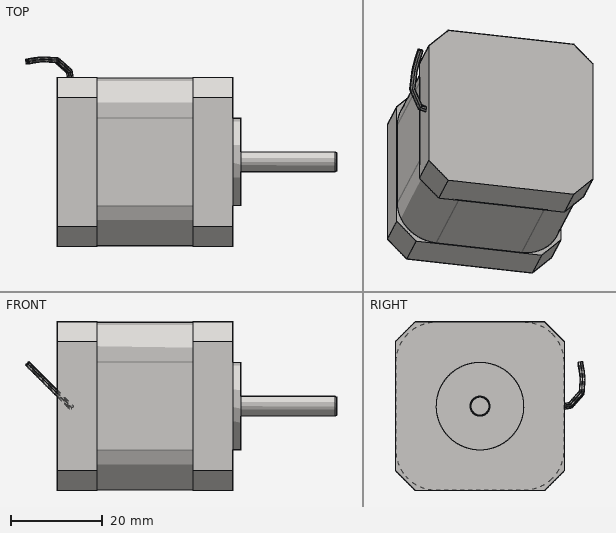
import cadquery as cq


cap_width = 36.88
cap_length = 8.72
cap_chamfer = 4.36
stator_length = 20.92
stator_inset = 0.13
stator_width = cap_width - 2 * stator_inset
stator_corner_radius = 8.72
body_length = 2 * cap_length + stator_length

boss_diameter = 19.1
boss_length = 1.74
shaft_diameter = 4.36
shaft_length = 20.93
shaft_end_chamfer_length = 0.44
shaft_end_chamfer_depth = 0.22

wire_diameter = 0.56
wire_spacing = 0.52
wire_root_depth = 0.5
wire_plane_shift = 1.43
wire_plane = cq.Plane(origin=(wire_plane_shift, 0, wire_plane_shift), xDir=(-1, 0, 1), normal=(-1, 0, -1))
wire_path = [
    (-2.2, cap_width / 2 - wire_root_depth),
    (-1.75, 19.75),
    (2.1, 22.17),
    (6.3, 22.38),
    (8.5, 22.22),
    (11.14, 21.88),
]


def square_block(width, start_x, length):
    """Square block centred on the shaft axis."""
    return cq.Workplane("YZ", origin=(start_x, 0, 0)).rect(width, width).extrude(length)


def end_cap(start_x):
    return square_block(cap_width, start_x, cap_length).edges("|X").chamfer(cap_chamfer)


def stator():
    block = square_block(stator_width, cap_length, stator_length)
    return block.edges("|X").fillet(stator_corner_radius)


def boss_and_shaft():
    """Pilot boss and shaft turned as one profile about the X axis."""
    boss_face = body_length + boss_length
    shaft_tip = boss_face + shaft_length
    shaft_radius = shaft_diameter / 2
    profile = [
        (body_length, 0),
        (body_length, boss_diameter / 2),
        (boss_face, boss_diameter / 2),
        (boss_face, shaft_radius),
        (shaft_tip - shaft_end_chamfer_length, shaft_radius),
        (shaft_tip, shaft_radius - shaft_end_chamfer_depth),
        (shaft_tip, 0),
    ]
    return cq.Workplane("XZ").polyline(profile).close().revolve(360, (0, 0), (1, 0))


def left_normal(start, end):
    """Unit vector square to a path segment, on its left."""
    direction = cq.Vector(end[0] - start[0], end[1] - start[1]).normalized()
    return cq.Vector(-direction.y, direction.x)


def parallel_path(points, offset):
    """Points of a polyline shifted sideways, mitred at the bends."""
    normals = [left_normal(p, q) for p, q in zip(points, points[1:])]
    befores = normals[:1] + normals
    afters = normals + normals[-1:]
    shifted = []
    for point, before, after in zip(points, befores, afters):
        mitre = (before + after) * (offset / (1 + before.dot(after)))
        shifted.append((point[0] + mitre.x, point[1] + mitre.y))
    return shifted


def strand(offset, height):
    """One round wire, parallel to the bundle path and at a height off its plane."""
    points = [wire_plane.toWorldCoords((s, y, height)) for s, y in parallel_path(wire_path, offset)]
    wire_radius = wire_diameter / 2
    wire = cq.Workplane("XY")
    for start, end in zip(points, points[1:]):
        run = end - start
        wire = wire.union(cq.Workplane(cq.Solid.makeCylinder(wire_radius, run.Length, start, run)))
    for bend in points[1:-1]:
        wire = wire.union(cq.Workplane("XY", origin=bend).sphere(wire_radius))
    return wire


def lead_wires():
    """Four strands in a square bundle."""
    sides = (-wire_spacing / 2, wire_spacing / 2)
    bundle = cq.Workplane("XY")
    for offset in sides:
        for height in sides:
            bundle = bundle.union(strand(offset, height))
    return bundle


result = (
    end_cap(0)
    .union(stator())
    .union(end_cap(cap_length + stator_length))
    .union(boss_and_shaft())
    .union(lead_wires())
)